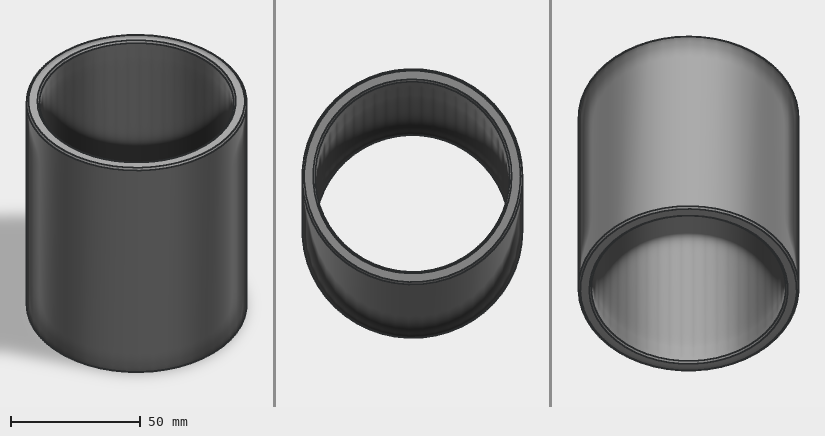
import cadquery as cq

length = 100.0
outer_diameter = 85.0
bore_diameter = 75.0
edge_chamfer = 0.8

tube = (
    cq.Workplane("XY")
    .circle(outer_diameter / 2)
    .circle(bore_diameter / 2)
    .extrude(length)
)

result = tube.faces("<Z or >Z").edges().chamfer(edge_chamfer)